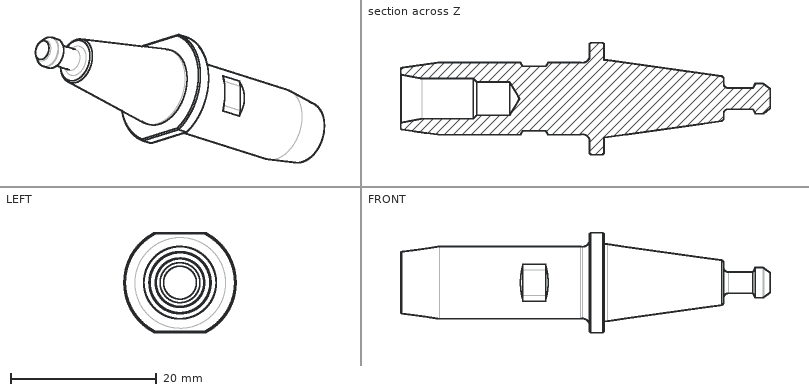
import cadquery as cq
import math

taper_slope = math.tan(math.radians(8))
overall_length = 50.9

body_radius = 5.0
nose_length = 5.3
nose_chamfer = 0.15
nose_radius = body_radius - taper_slope * (nose_length - nose_chamfer)

flange_start = 26.0
flange_width = 2.0
flange_end = flange_start + flange_width
flange_diameter = 15.45
flange_across_flats = 13.8
flange_chamfer = 0.2

relief_start = 24.7
relief_root_start = 25.0
relief_root_radius = 4.95
relief_top_radius = 6.25

collar_length = 0.45
collar_radius = 5.33
taper_start = flange_end + collar_length
taper_end = 44.48
taper_end_chamfer = 0.25
taper_small_radius = collar_radius - taper_slope * (taper_end - taper_end_chamfer - taper_start)

neck_radius = 1.48
neck_fillet = 0.6
head_start = 48.5
head_back_length = 0.3
head_radius = 2.09
head_length = 1.1
head_edge_round = 0.2
head_tip_radius = 1.47
tip_chamfer = 0.15

bore_mouth_radius = 3.4
bore_taper_depth = 2.9
bore_taper_end_radius = 2.75
bore_mouth_chamfer = 0.12
bore_straight_end = 10.0
bore_radius = 2.27
bore_depth = 15.0
drill_point_half_angle = 59

pocket_center = 18.4
pocket_length = 3.22
pocket_floor = 4.48
floor_half_height = 1.76
pocket_half_height = 2.54
pocket_edge = math.sqrt(body_radius**2 - pocket_half_height**2)
pocket_wall_angle = 30
pocket_top = body_radius + 0.5


def revolve_about_x(profile):
    return profile.close().revolve(360, (0, 0, 0), (1, 0, 0))


def make_body():
    """Nose, cylinder, blank ring for the relief groove, collar and rear taper."""
    profile = (
        cq.Workplane("XY")
        .lineTo(0, nose_radius - nose_chamfer)
        .lineTo(nose_chamfer, nose_radius)
        .lineTo(nose_length, body_radius)
        .lineTo(relief_start, body_radius)
        .lineTo(relief_start, relief_top_radius)
        .lineTo(flange_start, relief_top_radius)
        .lineTo(flange_start, collar_radius)
        .lineTo(taper_start, collar_radius)
        .lineTo(taper_end - taper_end_chamfer, taper_small_radius)
        .lineTo(taper_end, taper_small_radius - taper_end_chamfer)
        .lineTo(taper_end, 0)
    )
    return revolve_about_x(profile)


def make_relief():
    """Ring cutter: a shallow cone into the root, then an arc up to the flange face."""
    root_width = flange_start - relief_root_start
    root_height = relief_top_radius - relief_root_radius
    arc_radius = (root_width**2 + root_height**2) / (2 * root_height)
    bend = arc_radius * math.sqrt(0.5)
    arc_middle = (relief_root_start + bend, relief_root_radius + arc_radius - bend)
    profile = (
        cq.Workplane("XY")
        .moveTo(relief_start, body_radius)
        .lineTo(relief_root_start, relief_root_radius)
        .threePointArc(arc_middle, (flange_start, relief_top_radius))
        .lineTo(relief_start, relief_top_radius)
    )
    return revolve_about_x(profile)


def make_flange():
    """Round flange with two flats, chamfered all round on both faces."""
    disc = cq.Workplane("YZ", origin=(flange_start, 0, 0)).circle(flange_diameter / 2).extrude(flange_width)
    slab = cq.Workplane("XY").box(flange_width, flange_diameter, flange_across_flats)
    slab = slab.translate((flange_start + flange_width / 2, 0, 0))
    return disc.intersect(slab).faces("<X or >X").edges().chamfer(flange_chamfer)


def make_pull_stud():
    """Slim neck with a fillet at its root and a conical head at the tip."""
    bend = neck_fillet * math.sqrt(0.5)
    fillet_end = taper_end + neck_fillet
    head_cone_start = head_start + head_back_length + head_length
    fillet_top = neck_radius + neck_fillet
    profile = (
        cq.Workplane("XY")
        .moveTo(taper_end, 0)
        .lineTo(taper_end, fillet_top)
        .threePointArc((fillet_end - bend, fillet_top - bend), (fillet_end, neck_radius))
        .lineTo(head_start, neck_radius)
        .lineTo(head_start + head_back_length, head_radius)
        .lineTo(head_cone_start, head_radius)
        .lineTo(overall_length - tip_chamfer, head_tip_radius)
        .lineTo(overall_length, head_tip_radius - tip_chamfer)
        .lineTo(overall_length, 0)
    )
    stud = revolve_about_x(profile)
    head_edge = cq.selectors.BoxSelector(
        (head_cone_start - head_edge_round, -head_radius, -head_radius),
        (head_cone_start + head_edge_round, head_radius, head_radius),
        boundingbox=False,
    )
    return stud.edges(head_edge).edges("%CIRCLE").fillet(head_edge_round)


def make_bore():
    """Chamfered taper, straight bore, 45 degree step and a blind hole with a drill point."""
    step_length = bore_taper_end_radius - bore_radius
    point_length = bore_radius / math.tan(math.radians(drill_point_half_angle))
    profile = (
        cq.Workplane("XY")
        .lineTo(0, bore_mouth_radius)
        .lineTo(bore_mouth_chamfer, bore_mouth_radius - bore_mouth_chamfer)
        .lineTo(bore_taper_depth, bore_taper_end_radius)
        .lineTo(bore_straight_end, bore_taper_end_radius)
        .lineTo(bore_straight_end + step_length, bore_radius)
        .lineTo(bore_depth, bore_radius)
        .lineTo(bore_depth + point_length, 0)
    )
    return revolve_about_x(profile)


def make_pocket():
    """Cutter for the +Y pocket: a floor falling away at both ends, between flared walls."""
    floor_points = [
        (pocket_top, -pocket_half_height),
        (pocket_edge, -pocket_half_height),
        (pocket_floor, -floor_half_height),
        (pocket_floor, floor_half_height),
        (pocket_edge, pocket_half_height),
        (pocket_top, pocket_half_height),
    ]
    start = pocket_center - pocket_length / 2
    end = pocket_center + pocket_length / 2
    floor_cut = cq.Workplane("YZ", origin=(start, 0, 0)).polyline(floor_points).close().extrude(pocket_length)
    flare = (pocket_top - pocket_floor) * math.tan(math.radians(pocket_wall_angle))
    wall_points = [
        (start, pocket_floor),
        (end, pocket_floor),
        (end + flare, pocket_top),
        (start - flare, pocket_top),
    ]
    wall_cut = cq.Workplane("XY").polyline(wall_points).close().extrude(pocket_half_height, both=True)
    return floor_cut.union(wall_cut)


pocket = make_pocket()
result = make_body().union(make_flange()).union(make_pull_stud())
result = result.cut(make_relief()).cut(make_bore())
result = result.cut(pocket).cut(pocket.mirror("XZ"))